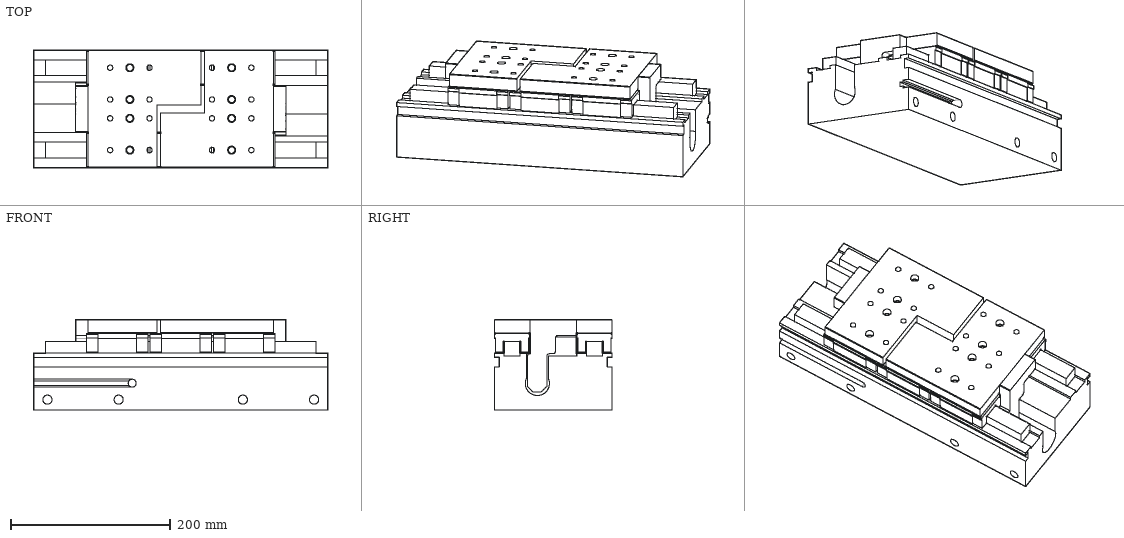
import cadquery as cq


BASE_LENGTH = 370.0
BASE_WIDTH = 148.0
BASE_TOP = 71.8
TOTAL_HEIGHT = 114.0
MIDDLE_X = BASE_LENGTH / 2
FLOOR_Z = 68.0
CHANNEL_WIDTH = 59.2

SIDE_SLOT_BOTTOM = 54.5
SIDE_SLOT_TOP = 66.5
SIDE_SLOT_DEPTH = 6.0

BORE_DIAMETER = 30.5
BORE_Y = 20.0
BORE_Z = 33.5
BORE_SLOT_WIDTH = 27.8

TOWER_TOP = 92.0
TOWER_WIDTH = 58.5

MOUNT_HOLE_DIAMETER = 11.5
MOUNT_HOLE_DEPTH = 22.2
MOUNT_HOLE_TIP = 3.5
MOUNT_HOLE_Z = 13.5
MOUNT_HOLE_OFFSETS = (78.0, 167.5)

SENSOR_Z = 34.0
SENSOR_END_X = 124.0
SENSOR_DIAMETER = 10.0
SENSOR_DEPTH = 8.5
SENSOR_NECK_WIDTH = 5.5
SENSOR_NECK_DEPTH = 13.0
SENSOR_HOLE_DEPTH = 14.5

RAIL_Y = 51.8
RAIL_WIDTH = 20.0
RAIL_TOP = 86.5
RAIL_END_GAP = 14.8

CARRIAGE_COUNT = 3
CARRIAGE_LENGTH = 77.7
CARRIAGE_GAP = 2.2
CARRIAGE_PITCH = CARRIAGE_LENGTH + CARRIAGE_GAP
CARRIAGE_SLOT_WIDTH = 22.2
CAP_LENGTH = 14.5
CAP_LIFT = 1.0
CAP_INSET = 0.5
CARRIAGE_BOTTOM = 72.0
CARRIAGE_TOP = 97.3
CARRIAGE_STEP_Z = 90.0
CARRIAGE_WIDTH = 44.5
CARRIAGE_CHAMFER = 1.0
CARRIAGE_STEP = 1.0

JAW_START_X = 68.5
NOTCH_X = 155.5
TONGUE_X = 210.0
NOTCH_Y = 4.8
JAW_BOTTOM = CARRIAGE_TOP
KEEL_BOTTOM = 94.0
KEEL_WIDTH = TOWER_WIDTH
EDGE_CHAMFER = 0.7

HOLE_X_START = 96.2
HOLE_X_PITCH = 24.8
HOLE_ROWS_Y = (-51.8, -12.0, 12.0, 51.8)
SMALL_HOLE_DIAMETER = 6.5
SCREW_HOLE_DIAMETER = 8.0
SLEEVE_DIAMETER = 10.0
SLEEVE_DEPTH = 9.2

BLOCK_START_X = 53.0
LEG_OUTER_Y = 32.5
LEG_INNER_Y = 8.0
LEG_BOTTOM = 23.0
LEG_CHAMFER = 7.0
SHOULDER_Z = 71.0
SHOULDER_RADIUS = LEG_OUTER_Y - KEEL_WIDTH / 2
ARM_Y = -2.5
ARM_RADIUS = 2.5
ROOF_RADIUS = 4.0


def box(x, y, z):
    """Box between the (low, high) limits given for each axis."""
    size = (x[1] - x[0], y[1] - y[0], z[1] - z[0])
    return cq.Workplane("XY").box(*size, centered=False).translate((x[0], y[0], z[0]))


def centred_box(x, width, z, y_centre=0.0):
    """Box of the given width, centred on y_centre."""
    return box(x, (y_centre - width / 2, y_centre + width / 2), z)


def half_turn(body):
    """Copy turned half a revolution about the vertical centre line."""
    return body.rotate((MIDDLE_X, 0, 0), (MIDDLE_X, 0, 1), 180)


def drive_groove():
    """Keyhole groove in the left end: a round bore opening upward through a slot."""
    x = (0, JAW_START_X)
    bore = cq.Workplane("YZ").center(BORE_Y, BORE_Z).circle(BORE_DIAMETER / 2).extrude(JAW_START_X)
    return bore.union(centred_box(x, BORE_SLOT_WIDTH, (BORE_Z, BASE_TOP), BORE_Y))


def mounting_holes():
    """Blind holes with drill points in the front face."""
    radius = MOUNT_HOLE_DIAMETER / 2
    drill = (
        cq.Workplane("XY")
        .polyline([
            (0, 0),
            (radius, 0),
            (radius, MOUNT_HOLE_DEPTH),
            (0, MOUNT_HOLE_DEPTH + MOUNT_HOLE_TIP),
        ])
        .close()
        .revolve(360, (0, 0), (0, 1))
    )
    holes = cq.Workplane("XY")
    for offset in MOUNT_HOLE_OFFSETS:
        for x in (MIDDLE_X - offset, MIDDLE_X + offset):
            holes = holes.add(drill.translate((x, -BASE_WIDTH / 2, MOUNT_HOLE_Z)))
    return holes.combine()


def sensor_slot():
    """Stepped slot in the front face, running from the left end into a round hole."""
    front = -BASE_WIDTH / 2
    x = (0, SENSOR_END_X)
    mouth_z = (SENSOR_Z - SENSOR_DIAMETER / 2, SENSOR_Z + SENSOR_DIAMETER / 2)
    neck_z = (SENSOR_Z - SENSOR_NECK_WIDTH / 2, SENSOR_Z + SENSOR_NECK_WIDTH / 2)
    hole = (
        cq.Workplane("XZ", origin=(SENSOR_END_X, front, SENSOR_Z))
        .circle(SENSOR_DIAMETER / 2)
        .extrude(-SENSOR_HOLE_DEPTH)
    )
    mouth = box(x, (front, front + SENSOR_DEPTH), mouth_z)
    neck = box(x, (front, front + SENSOR_NECK_DEPTH), neck_z)
    return hole.union(mouth).union(neck)


def make_base():
    length = (0, BASE_LENGTH)
    base = centred_box(length, BASE_WIDTH, (0, BASE_TOP))
    base = base.cut(centred_box(length, CHANNEL_WIDTH, (FLOOR_Z, BASE_TOP)))
    for side in (-1, 1):
        base = base.cut(centred_box(length, RAIL_WIDTH, (FLOOR_Z, BASE_TOP), side * RAIL_Y))
        slot_y = side * (BASE_WIDTH - SIDE_SLOT_DEPTH) / 2
        slot_z = (SIDE_SLOT_BOTTOM, SIDE_SLOT_TOP)
        base = base.cut(centred_box(length, SIDE_SLOT_DEPTH, slot_z, slot_y))
    base = base.cut(drive_groove()).cut(half_turn(drive_groove()))
    tower_x = (JAW_START_X, BASE_LENGTH - JAW_START_X)
    base = base.union(centred_box(tower_x, TOWER_WIDTH, (FLOOR_Z, TOWER_TOP)))
    return base.cut(mounting_holes()).cut(sensor_slot())


def carriage_section(x, inset, lift):
    """Stretch of a carriage, wider above the step and open below around the rail."""
    bottom = CARRIAGE_BOTTOM + lift
    step_z = CARRIAGE_STEP_Z + lift
    width = CARRIAGE_WIDTH - 2 * inset
    lower = centred_box(x, width - 2 * CARRIAGE_STEP, (bottom, step_z))
    upper = centred_box(x, width, (step_z, CARRIAGE_TOP - lift))
    upper = upper.faces(">Z").edges("|X").chamfer(CARRIAGE_CHAMFER)
    return lower.union(upper).cut(centred_box(x, CARRIAGE_SLOT_WIDTH, (bottom, RAIL_TOP)))


def make_carriage():
    """Carriage centred over the rail line, starting at X = 0."""
    cap_end = CARRIAGE_LENGTH - CAP_LENGTH
    first_cap = carriage_section((0, CAP_LENGTH), CAP_INSET, CAP_LIFT)
    middle = carriage_section((CAP_LENGTH, cap_end), 0, 0)
    last_cap = carriage_section((cap_end, CARRIAGE_LENGTH), CAP_INSET, CAP_LIFT)
    return first_cap.union(middle).union(last_cap)


def make_guide(y):
    guide = centred_box((RAIL_END_GAP, BASE_LENGTH - RAIL_END_GAP), RAIL_WIDTH, (FLOOR_Z, RAIL_TOP))
    row_length = CARRIAGE_COUNT * CARRIAGE_PITCH - CARRIAGE_GAP
    row_start = MIDDLE_X - row_length / 2
    for index in range(CARRIAGE_COUNT):
        guide = guide.union(make_carriage().translate((row_start + index * CARRIAGE_PITCH, 0, 0)))
    return guide.translate((0, y, 0))


def jaw_holes():
    """Four rows of three holes; the middle one of each row has a sleeve counterbore."""
    holes = cq.Workplane("XY")
    diameters = (SMALL_HOLE_DIAMETER, SCREW_HOLE_DIAMETER, SMALL_HOLE_DIAMETER)
    for column, diameter in enumerate(diameters):
        x = HOLE_X_START + column * HOLE_X_PITCH
        points = [(x, y) for y in HOLE_ROWS_Y]
        top = cq.Workplane("XY", origin=(0, 0, TOTAL_HEIGHT)).pushPoints(points)
        holes = holes.add(top.circle(diameter / 2).extrude(KEEL_BOTTOM - TOTAL_HEIGHT))
        if diameter == SCREW_HOLE_DIAMETER:
            holes = holes.add(top.circle(SLEEVE_DIAMETER / 2).extrude(-SLEEVE_DEPTH))
    return holes.combine()


def make_jaw():
    """L-shaped plate with chamfered long edges and a keel along its middle."""
    length = (JAW_START_X, TONGUE_X)
    plate = centred_box(length, BASE_WIDTH, (JAW_BOTTOM, TOTAL_HEIGHT))
    plate = plate.edges("|X").chamfer(EDGE_CHAMFER)
    keel = centred_box(length, KEEL_WIDTH, (KEEL_BOTTOM, JAW_BOTTOM))
    notch = box((NOTCH_X, TONGUE_X), (-BASE_WIDTH / 2, NOTCH_Y), (KEEL_BOTTOM, TOTAL_HEIGHT))
    return plate.union(keel).cut(notch).cut(jaw_holes())


def make_end_block():
    """Block on the end of a jaw, with a leg reaching down into the drive groove."""
    half = KEEL_WIDTH / 2
    bend = 0.5 ** 0.5
    arc_z = SHOULDER_Z - SHOULDER_RADIUS
    fillet_y = LEG_INNER_Y - SHOULDER_RADIUS
    arm_y = ARM_Y + ARM_RADIUS
    arm_z = SHOULDER_Z + ARM_RADIUS
    roof_y = ARM_Y - ROOF_RADIUS
    roof_z = KEEL_BOTTOM - ROOF_RADIUS
    profile = (
        cq.Workplane("YZ", origin=(BLOCK_START_X, 0, 0))
        .moveTo(-half, KEEL_BOTTOM)
        .lineTo(-half, TOTAL_HEIGHT - EDGE_CHAMFER)
        .lineTo(-half + EDGE_CHAMFER, TOTAL_HEIGHT)
        .lineTo(half - EDGE_CHAMFER, TOTAL_HEIGHT)
        .lineTo(half, TOTAL_HEIGHT - EDGE_CHAMFER)
        .lineTo(half, SHOULDER_Z)
        .threePointArc(
            (half + bend * SHOULDER_RADIUS, arc_z + bend * SHOULDER_RADIUS),
            (LEG_OUTER_Y, arc_z),
        )
        .lineTo(LEG_OUTER_Y, LEG_BOTTOM + LEG_CHAMFER)
        .lineTo(LEG_OUTER_Y - LEG_CHAMFER, LEG_BOTTOM)
        .lineTo(LEG_INNER_Y + LEG_CHAMFER, LEG_BOTTOM)
        .lineTo(LEG_INNER_Y, LEG_BOTTOM + LEG_CHAMFER)
        .lineTo(LEG_INNER_Y, arc_z)
        .threePointArc(
            (fillet_y + bend * SHOULDER_RADIUS, arc_z + bend * SHOULDER_RADIUS),
            (fillet_y, SHOULDER_Z),
        )
        .lineTo(arm_y, SHOULDER_Z)
        .threePointArc((arm_y - bend * ARM_RADIUS, arm_z - bend * ARM_RADIUS), (ARM_Y, arm_z))
        .lineTo(ARM_Y, roof_z)
        .threePointArc(
            (roof_y + bend * ROOF_RADIUS, roof_z + bend * ROOF_RADIUS),
            (roof_y, KEEL_BOTTOM),
        )
        .close()
    )
    return profile.extrude(JAW_START_X - BLOCK_START_X)


base = make_base()
guides = [make_guide(side * RAIL_Y) for side in (-1, 1)]
left_jaw = make_jaw()
left_end_block = make_end_block()
jaws = [left_jaw, half_turn(left_jaw)]
end_blocks = [left_end_block, half_turn(left_end_block)]

result = cq.Compound.makeCompound([body.val() for body in [base, *guides, *jaws, *end_blocks]])